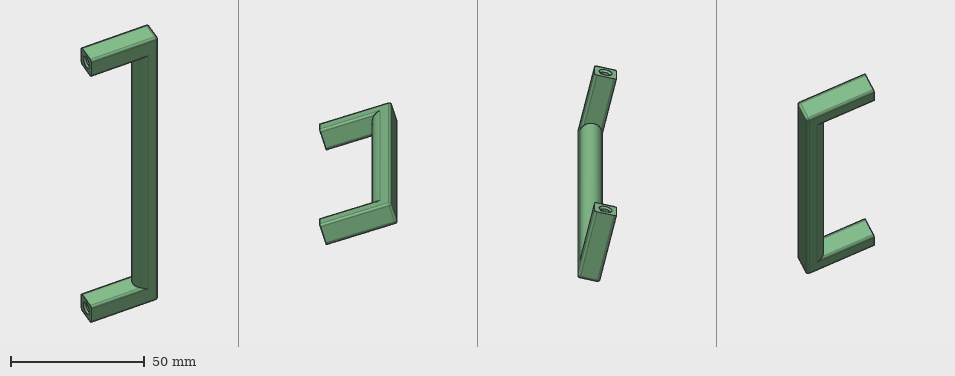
import cadquery as cq
import math

length = 136.5
projection = 28.0
section = 8.5
edge_radius = 1.0
hole_diameter = 3.4
countersink_diameter = 4.9
hole_depth = 10.0
drill_angle = 118.0

half = section / 2
grip_back = projection / 2
leg_face = -projection / 2
grip_axis_y = grip_back - half
leg_axis_z = length / 2 - half


def make_grip():
    """Bar with a flat back and a semicircular finger side, spanning the leg axes."""
    return (
        cq.Workplane("XY", origin=(0, 0, -leg_axis_z))
        .moveTo(-half, grip_axis_y)
        .lineTo(-half, grip_back)
        .lineTo(half, grip_back)
        .lineTo(half, grip_axis_y)
        .threePointArc((0, grip_axis_y - half), (-half, grip_axis_y))
        .close()
        .extrude(2 * leg_axis_z)
    )


def make_leg(z):
    """Square leg with rounded edges along its length, centred at height z."""
    return (
        cq.Workplane("XY")
        .box(section, projection, section)
        .edges("|Y")
        .fillet(edge_radius)
        .translate((0, 0, z))
    )


def make_outer_envelope():
    """Block that rounds the back and the two ends of the handle."""
    return (
        cq.Workplane("XY")
        .box(section, projection, length)
        .edges(">Y or (|Y and >Z) or (|Y and <Z)")
        .fillet(edge_radius)
    )


def make_hole(z):
    """Countersunk blind hole with a drill-point bottom, along Y at height z."""
    hole_radius = hole_diameter / 2
    sink_radius = countersink_diameter / 2
    sink_depth = sink_radius - hole_radius
    tip_depth = hole_radius / math.tan(math.radians(drill_angle / 2))
    return (
        cq.Workplane("XY")
        .moveTo(0, leg_face)
        .lineTo(sink_radius, leg_face)
        .lineTo(hole_radius, leg_face + sink_depth)
        .lineTo(hole_radius, leg_face + hole_depth)
        .lineTo(0, leg_face + hole_depth + tip_depth)
        .close()
        .revolve(360, (0, 0, 0), (0, 1, 0))
        .translate((0, 0, z))
    )


leg_heights = (-leg_axis_z, leg_axis_z)

handle = make_grip()
for height in leg_heights:
    handle = handle.union(make_leg(height))
handle = handle.intersect(make_outer_envelope())
for height in leg_heights:
    handle = handle.cut(make_hole(height))

result = handle